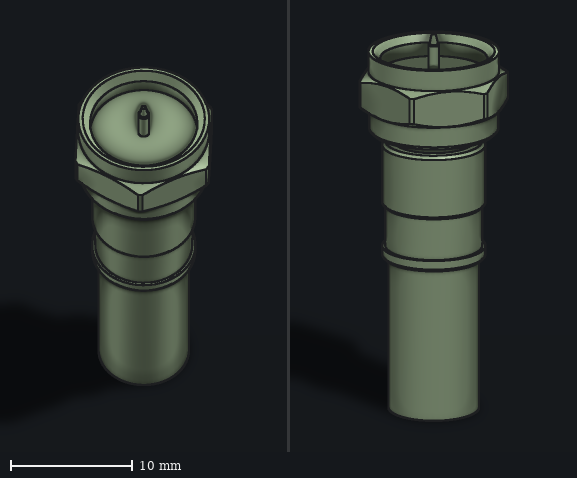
import cadquery as cq
import math

total_height = 32.3
pin_bevel_z = 31.33
pin_cone_z = 31.43
nut_top_z = 30.78
socket_floor_z = 28.97
hex_top_z = 29.05
hex_bottom_z = 25.85
nut_bottom_z = 23.87
body_top_z = 23.0
body_bottom_z = 17.5
flange_top_z = 14.0
flange_bottom_z = 13.02

sleeve_radius = 3.75
waist_radius = 4.0
body_radius = 4.25
neck_radius = 3.25
nut_lower_radius = 5.33
nut_upper_radius = 5.4

outer_chamfer = 0.3
body_lower_chamfer = body_radius - waist_radius
flange_chamfer = 0.23

hex_across_flats = 11.0
hex_corner_diameter = 12.5
hex_chamfer_angle = math.radians(30)

socket_radius = 4.43
socket_mouth_radius = 5.05
lead_in_depth = socket_mouth_radius - socket_radius

pin_radius = 0.45
pin_cone_radius = 0.35
pin_tip_radius = 0.15


def revolve_profile(points):
    """Close an (r, z) outline and revolve it around the Z axis."""
    return cq.Workplane("XZ").polyline(points).close().revolve(360, (0, 0, 0), (0, 1, 0))


def cylinder(radius, bottom, top):
    return cq.Workplane("XY").workplane(offset=bottom).circle(radius).extrude(top - bottom)


def make_body():
    """Cable sleeve, crimp flange, waist, body and neck."""
    sleeve = cylinder(sleeve_radius, 0, flange_bottom_z)
    flange = cylinder(body_radius, flange_bottom_z, flange_top_z).faces("<Z").chamfer(flange_chamfer)
    waist = cylinder(waist_radius, flange_top_z, body_bottom_z)
    body = cylinder(body_radius, body_bottom_z, body_top_z)
    body = body.faces("<Z").chamfer(body_lower_chamfer).faces(">Z").chamfer(outer_chamfer)
    neck = cylinder(neck_radius, body_top_z, nut_bottom_z)
    return sleeve.union(flange).union(waist).union(body).union(neck)


def make_hex():
    """Hexagon with corners on +Y and -Y, trimmed round and coned at both ends."""
    corner_radius = hex_corner_diameter / 2
    point_diameter = hex_across_flats / math.cos(math.pi / 6)
    prism = (
        cq.Workplane("XY")
        .workplane(offset=hex_bottom_z)
        .transformed(rotate=(0, 0, 90))
        .polygon(6, point_diameter)
        .extrude(hex_top_z - hex_bottom_z)
    )
    upper_drop = (corner_radius - nut_upper_radius) * math.tan(hex_chamfer_angle)
    lower_rise = (corner_radius - nut_lower_radius) * math.tan(hex_chamfer_angle)
    envelope = revolve_profile([
        (0, hex_bottom_z),
        (nut_lower_radius, hex_bottom_z),
        (corner_radius, hex_bottom_z + lower_rise),
        (corner_radius, hex_top_z - upper_drop),
        (nut_upper_radius, hex_top_z),
        (0, hex_top_z),
    ])
    return prism.intersect(envelope)


def make_nut():
    lower_collar = cylinder(nut_lower_radius, nut_bottom_z, hex_bottom_z)
    lower_collar = lower_collar.faces("<Z").chamfer(outer_chamfer)
    upper_collar = cylinder(nut_upper_radius, hex_top_z, nut_top_z)
    return lower_collar.union(make_hex()).union(upper_collar)


def make_socket():
    """Cavity in the top of the nut, widening at the mouth."""
    return revolve_profile([
        (0, socket_floor_z),
        (socket_radius, socket_floor_z),
        (socket_radius, nut_top_z - lead_in_depth),
        (socket_mouth_radius, nut_top_z),
        (0, nut_top_z),
    ])


def make_pin():
    """Pin rooted in the socket floor, with a bevel below its conical tip."""
    return revolve_profile([
        (0, socket_floor_z),
        (pin_radius, socket_floor_z),
        (pin_radius, pin_bevel_z),
        (pin_cone_radius, pin_cone_z),
        (pin_tip_radius, total_height),
        (0, total_height),
    ])


result = make_body().union(make_nut()).cut(make_socket()).union(make_pin())